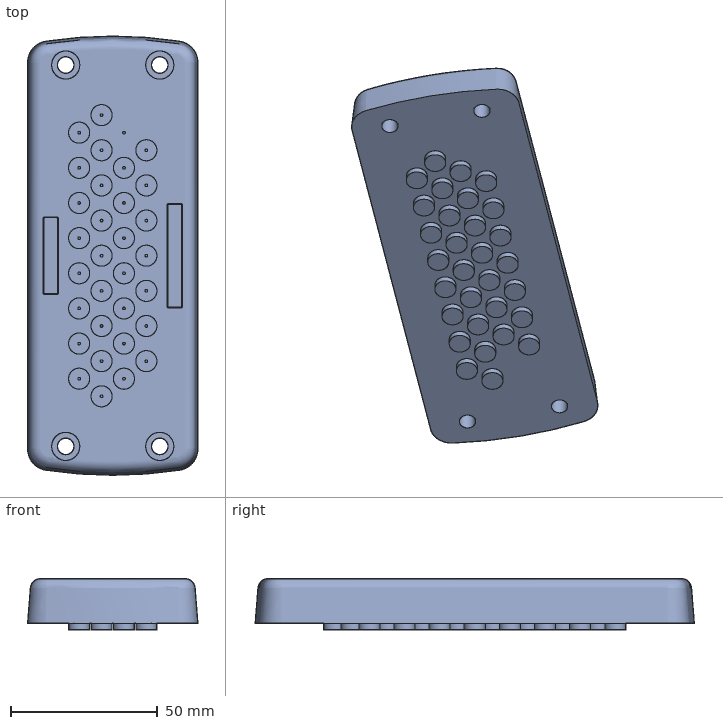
import cadquery as cq
import math

length = 149.5
width = 58.0
body_height = 15.3
draft_angle = 4.5
end_bow_radius = 149.5
corner_radius = 7.5
top_fillet_radius = 3.6

screw_spacing_x = 32.0
screw_spacing_y = 129.8
screw_hole_diameter = 5.5
screw_head_diameter = 9.5
screw_head_depth = 5.0

column_pitch = 7.6
plug_pitch = 12.0
plug_diameter = 7.2
plug_drop = 2.2
membrane_recess = 0.07
pilot_diameter = 0.9
pilot_depth = 0.1

plug_columns = [
    (8, -3.5 * plug_pitch),
    (9, -4.0 * plug_pitch),
    (7, -3.5 * plug_pitch),
    (7, -3.0 * plug_pitch),
]

label_offset_x = 21.1
label_width = 5.2
short_label_length = 26.5
long_label_length = 35.6
label_corner_radius = 0.6
label_depth = 0.3
label_wall_angle = 45.0


def make_body():
    half_length = length / 2
    half_width = width / 2
    bow_depth = end_bow_radius - math.sqrt(end_bow_radius**2 - half_width**2)
    corner_y = half_length - bow_depth
    outline = (
        cq.Sketch()
        .segment((-half_width, -corner_y), (-half_width, corner_y))
        .arc((-half_width, corner_y), (0, half_length), (half_width, corner_y))
        .segment((half_width, corner_y), (half_width, -corner_y))
        .arc((half_width, -corner_y), (0, -half_length), (-half_width, -corner_y))
        .assemble()
        .vertices()
        .fillet(corner_radius)
    )
    block = cq.Workplane("XY").placeSketch(outline).extrude(body_height, taper=draft_angle)
    return block.faces(">Z").edges().fillet(top_fillet_radius)


def plug_points():
    points = []
    first_x = -column_pitch * (len(plug_columns) - 1) / 2
    for column, (count, first_y) in enumerate(plug_columns):
        x = first_x + column * column_pitch
        for row in range(count):
            points.append((x, first_y + row * plug_pitch))
    return points


def cylinders(points, diameter, bottom, top):
    return (
        cq.Workplane("XY", origin=(0, 0, bottom))
        .pushPoints(points)
        .circle(diameter / 2)
        .extrude(top - bottom)
    )


def add_plugs(body):
    points = plug_points()
    membrane_level = body_height - membrane_recess
    body = body.union(cylinders(points, plug_diameter, -plug_drop, body_height / 2))
    body = body.cut(cylinders(points, plug_diameter, membrane_level, body_height))
    spare_point = (column_pitch / 2, 3.5 * plug_pitch)
    pilot_bottom = membrane_level - pilot_depth
    return body.cut(cylinders(points + [spare_point], pilot_diameter, pilot_bottom, body_height))


def cut_screw_holes(body):
    half_x = screw_spacing_x / 2
    half_y = screw_spacing_y / 2
    points = [(x, y) for x in (-half_x, half_x) for y in (-half_y, half_y)]
    body = body.cut(cylinders(points, screw_hole_diameter, 0, body_height))
    return body.cut(cylinders(points, screw_head_diameter, body_height - screw_head_depth, body_height))


def cut_label_recess(body, center_x, label_length):
    outline = cq.Sketch().rect(label_width, label_length).vertices().fillet(label_corner_radius)
    recess = (
        cq.Workplane("XY", origin=(center_x, 0, body_height))
        .placeSketch(outline)
        .extrude(-label_depth, taper=label_wall_angle)
    )
    return body.cut(recess)


result = make_body()
result = add_plugs(result)
result = cut_screw_holes(result)
result = cut_label_recess(result, -label_offset_x, short_label_length)
result = cut_label_recess(result, label_offset_x, long_label_length)